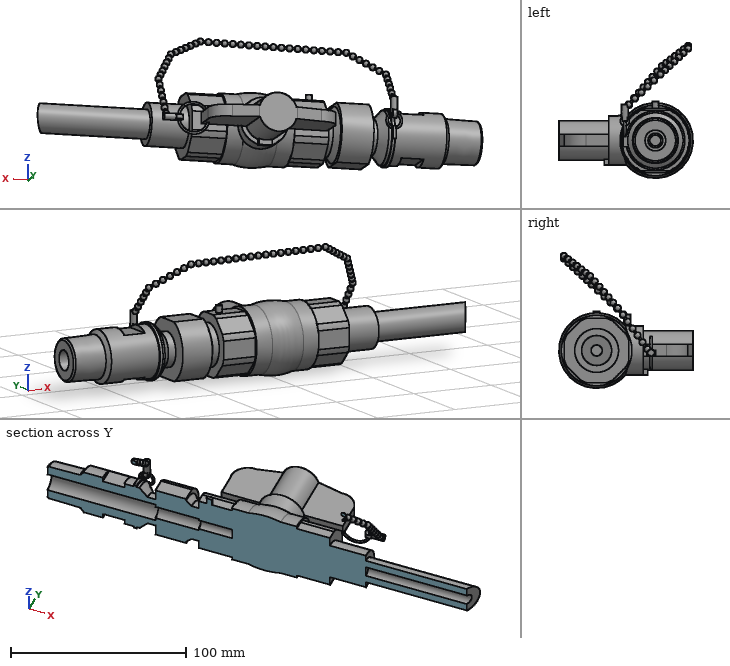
import cadquery as cq

length = 263.6
taper_end = 20.3
collar_start = 22.5
collar_end = 57.0
neck_start = 62.0
union_start = 66.7
union_end = 85.7
union_cone_end = 89.0
nut_start = 93.3
body_start = 114.0
body_end = 154.0
bulge_half = 10.0
sleeve_start = 174.5
sleeve_end = 196.7
valve_x = (body_start + body_end) / 2

taper_small_dia = 25.3
taper_large_dia = 26.0
taper_chamfer = 1.0
collar_dia = 31.6
neck_dia = 20.8
union_dia = 38.5
union_shoulder_dia = 32.7
union_neck_dia = 26.0
nut_dia = 38.5
nut_flats = 37.0
nut_sides = 8
body_dia = 40.3
bulge_dia = 43.2
sleeve_dia = 25.0
rod_dia = 17.1
rod_slant = 9.2

inlet_bore_dia = 11.9
seat_bore_dia = 8.5
valve_bore_dia = 6.3
outlet_bore_dia = 6.3

collar_flat_start = 34.3
collar_flat_end = 47.5
collar_flat_height = 13.0
union_flat_height = 17.5

pin_dia = 3.7
pin_x = 100.0
pin_top = 22.5

stem_dia = 28.2
stem_base = 10.5
stem_top = 26.5
handle_top = 55.0
hub_dia = 22.7
wing_thickness = 6.9
wing_half_span = 37.5
wing_corner_y = 39.8
wing_shoulder_offset = 26.4
wing_shoulder_y = 52.0
wing_corner_bulge = 3.0
stop_width = 8.0
stop_depth = 2.6

bead_dia = 3.7
bead_pitch = 4.7
chain_end_offset = 2.0
wire_dia = 1.3
link_dia = 4.0
eye_dia = 5.3
eye_thickness = 2.6
band_start = 53.3
band_width = 1.8
band_dia = 33.7
band_tab_rise = 3.7
band_tab_height = 7.5
band_tab_y = 16.5
collar_ring_dia = 8.5
collar_ring_y = 17.5
collar_ring_z = 6.9
collar_eye_z = collar_ring_z + collar_ring_dia / 2
collar_link_top = 20.5
handle_ring_dia = 17.7
handle_ring_x = 177.5
handle_ring_y = 31.0
handle_ring_z = -1.3
handle_eye_x = handle_ring_x + handle_ring_dia / 2
handle_link_end = 195.0
band_x = band_start + band_width / 2

chain_corners = [
    cq.Vector(band_x, collar_ring_y - chain_end_offset, collar_link_top),
    cq.Vector(53.3, -3.0, 37.7),
    cq.Vector(72.2, -18.7, 52.5),
    cq.Vector(159.0, -18.7, 54.0),
    cq.Vector(180.9, -3.7, 42.5),
    cq.Vector(192.7, 12.0, 24.3),
    cq.Vector(193.3, handle_ring_y - chain_end_offset, handle_ring_z + chain_end_offset),
]


def rod_between(start, end, diameter):
    """Solid cylinder between two points."""
    axis = end - start
    return cq.Solid.makeCylinder(diameter / 2, axis.Length, start, axis)


def x_cylinder(diameter, start, end):
    """Cylinder on the main axis."""
    return cq.Workplane("YZ", origin=(start, 0, 0)).circle(diameter / 2).extrude(end - start)


def turned_profile():
    """Stepped main body, revolved about the main axis."""
    outline = (
        cq.Workplane("XY")
        .moveTo(0, 0)
        .lineTo(0, taper_small_dia / 2 - taper_chamfer)
        .lineTo(taper_chamfer, taper_small_dia / 2)
        .lineTo(taper_end, taper_large_dia / 2)
        .lineTo(collar_start, collar_dia / 2)
        .lineTo(collar_end, collar_dia / 2)
        .lineTo(neck_start, neck_dia / 2)
        .lineTo(union_start, neck_dia / 2)
        .lineTo(union_start, union_dia / 2)
        .lineTo(union_end, union_dia / 2)
        .lineTo(union_end, union_shoulder_dia / 2)
        .lineTo(union_cone_end, union_neck_dia / 2)
        .lineTo(body_start, union_neck_dia / 2)
        .lineTo(body_start, body_dia / 2)
        .lineTo(valve_x - bulge_half, body_dia / 2)
        .threePointArc((valve_x, bulge_dia / 2), (valve_x + bulge_half, body_dia / 2))
        .lineTo(body_end, body_dia / 2)
        .lineTo(body_end, sleeve_dia / 2)
        .lineTo(sleeve_end, sleeve_dia / 2)
        .lineTo(sleeve_end, rod_dia / 2)
        .lineTo(length, rod_dia / 2)
        .lineTo(length, 0)
        .close()
    )
    return outline.revolve(360, (0, 0, 0), (1, 0, 0))


def flats(start, end, height):
    """Cutters that leave flats at Z = +height and Z = -height."""
    upper = cq.Workplane("XY").box(end - start, union_dia, union_dia, centered=(False, True, False))
    upper = upper.translate((start, 0, height))
    return upper.union(upper.mirror("XY"))


def slanted_end():
    """Cutter that slants the rod end so that its +Y side is longest."""
    return (
        cq.Workplane("XY")
        .moveTo(length, rod_dia / 2)
        .lineTo(length - rod_slant, -rod_dia / 2)
        .lineTo(length, -rod_dia / 2)
        .close()
        .extrude(rod_dia, both=True)
    )


def octagon_nut(start, end):
    """Octagonal nut with its corners turned down to a cylinder."""
    octagon = (
        cq.Workplane("YZ")
        .polygon(nut_sides, nut_flats, circumscribed=True)
        .extrude(end - start)
        .translate((start, 0, 0))
    )
    return octagon.intersect(x_cylinder(nut_dia, start, end))


def y_cylinder(diameter, start, end):
    """Cylinder along +Y on the valve stem axis."""
    base = cq.Vector(valve_x, start, 0)
    return cq.Workplane(rod_between(base, cq.Vector(valve_x, end, 0), diameter))


def handle():
    """Stem, hub, rounded wings and the stop tab under the handle."""
    corner_mid = (
        (wing_half_span + wing_shoulder_offset) / 2 + wing_corner_bulge,
        (wing_corner_y + wing_shoulder_y) / 2 + wing_corner_bulge,
    )
    wing = (
        cq.Workplane("XY")
        .moveTo(0, stem_top)
        .lineTo(wing_half_span, stem_top)
        .lineTo(wing_half_span, wing_corner_y)
        .threePointArc(corner_mid, (wing_shoulder_offset, wing_shoulder_y))
        .lineTo(hub_dia / 2, handle_top)
        .lineTo(0, handle_top)
        .close()
        .extrude(wing_thickness / 2, both=True)
    )
    wings = wing.union(wing.mirror("YZ")).translate((valve_x, 0, 0))
    stop = cq.Workplane("XY").box(stop_width, stop_depth, stem_dia / 2, centered=(True, False, False))
    stop = stop.translate((valve_x, stem_top, -stem_dia / 2))
    hub = y_cylinder(hub_dia, stem_top, handle_top)
    return y_cylinder(stem_dia, stem_base, stem_top).union(wings).union(hub).union(stop)


def pin():
    """Small round pin standing on the top flat of the inlet nut."""
    base = cq.Vector(pin_x, 0, nut_flats / 2 - pin_dia)
    return cq.Workplane(rod_between(base, cq.Vector(pin_x, 0, pin_top), pin_dia))


def bore():
    """Stepped inlet bore and plain outlet bore; both stop blind short of the valve centre."""
    inlet = x_cylinder(inlet_bore_dia, 0, union_start)
    seat = x_cylinder(seat_bore_dia, union_start, nut_start)
    valve_port = x_cylinder(valve_bore_dia, nut_start, body_start)
    outlet = x_cylinder(outlet_bore_dia, sleeve_end, length)
    return inlet.union(seat).union(valve_port).union(outlet)


def wire_ring(centre, diameter):
    """Wire ring lying in a plane of constant Y."""
    return cq.Solid.makeTorus(diameter / 2, wire_dia / 2, centre, cq.Vector(0, 1, 0))


def chain_fittings():
    """Collar band, wire rings, eyes and end links as a list of solids."""
    band = x_cylinder(band_dia, band_start, band_start + band_width)
    tab = cq.Workplane("XY").box(band_width, band_tab_rise, band_tab_height)
    tab = tab.translate((band_x, band_tab_y, 0))

    collar_eye = cq.Vector(band_x, collar_ring_y, collar_eye_z)
    collar_link_end = cq.Vector(band_x, collar_ring_y, collar_link_top)
    handle_eye = cq.Vector(handle_eye_x, handle_ring_y, handle_ring_z)
    handle_link = cq.Vector(handle_link_end, handle_ring_y, handle_ring_z)
    half_x = cq.Vector(eye_thickness / 2, 0, 0)
    half_z = cq.Vector(0, 0, eye_thickness / 2)
    return [
        band.val(),
        tab.val(),
        wire_ring(cq.Vector(band_x, collar_ring_y, collar_ring_z), collar_ring_dia),
        rod_between(collar_eye - half_x, collar_eye + half_x, eye_dia),
        rod_between(collar_eye, collar_link_end, link_dia),
        wire_ring(cq.Vector(handle_ring_x, handle_ring_y, handle_ring_z), handle_ring_dia),
        rod_between(handle_eye - half_z, handle_eye + half_z, eye_dia),
        rod_between(handle_eye, handle_link, link_dia),
    ]


def ball_chain():
    """Beads at an even pitch along each straight run, joined by a thin wire."""
    solids = []
    beads = [chain_corners[0]]
    for start, end in zip(chain_corners, chain_corners[1:]):
        run = end - start
        count = round(run.Length / bead_pitch)
        solids.append(rod_between(start, end, wire_dia))
        beads += [start + run * (i / count) for i in range(1, count + 1)]
    for centre in beads:
        ball = cq.Workplane("XY").sphere(bead_dia / 2).translate(centre.toTuple())
        solids.append(ball.val())
    return solids


valve = (
    turned_profile()
    .cut(flats(collar_flat_start, collar_flat_end, collar_flat_height))
    .cut(flats(union_start, union_end, union_flat_height))
    .cut(slanted_end())
    .union(octagon_nut(nut_start, body_start))
    .union(octagon_nut(body_end, sleeve_start))
    .union(handle())
    .union(pin())
)
fused = valve.val().fuse(*chain_fittings(), *ball_chain())
result = cq.Workplane(fused).cut(bore())